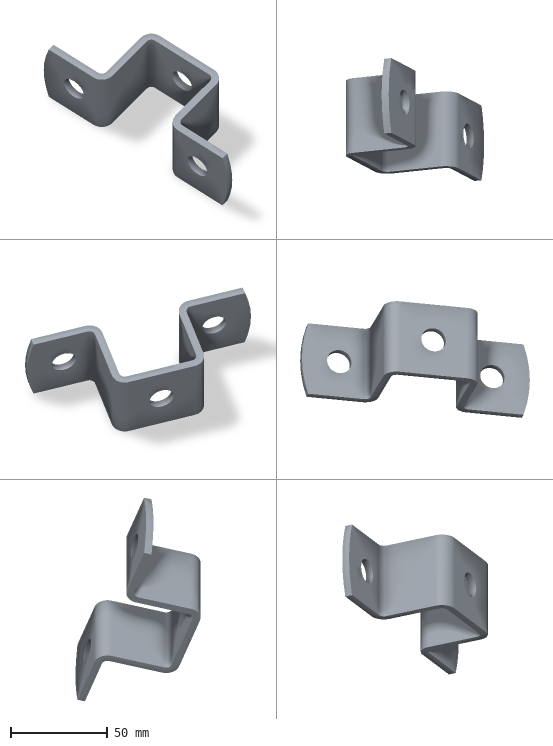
import cadquery as cq

length = 122.0
depth = 43.0
height = 40.0

thickness = 4.0
inner_bend_radius = 3.0
outer_bend_radius = inner_bend_radius + thickness
channel_width = 50.0

hole_diameter = 13.0
hole_offset = 41.0

half_length = length / 2
wall_outer_x = channel_width / 2
wall_inner_x = wall_outer_x - thickness
web_inner_y = depth - thickness


def hat_strip():
    """Hat-shaped strip with rounded bends, flanges resting on Y = 0."""
    profile = (
        cq.Workplane("XY")
        .moveTo(-half_length, 0)
        .lineTo(-wall_inner_x, 0)
        .lineTo(-wall_inner_x, web_inner_y)
        .lineTo(wall_inner_x, web_inner_y)
        .lineTo(wall_inner_x, 0)
        .lineTo(half_length, 0)
        .lineTo(half_length, thickness)
        .lineTo(wall_outer_x, thickness)
        .lineTo(wall_outer_x, depth)
        .lineTo(-wall_outer_x, depth)
        .lineTo(-wall_outer_x, thickness)
        .lineTo(-half_length, thickness)
        .close()
    )
    strip = profile.extrude(height / 2, both=True)

    for side in (-1, 1):
        outer_corners = ((side * wall_inner_x, 0), (side * wall_outer_x, depth))
        inner_corners = ((side * wall_outer_x, thickness), (side * wall_inner_x, web_inner_y))
        for corners, radius in ((outer_corners, outer_bend_radius), (inner_corners, inner_bend_radius)):
            for x, y in corners:
                strip = strip.edges(cq.selectors.NearestToPointSelector((x, y, 0))).fillet(radius)
    return strip


def along_y(diameter):
    """Cylinder on the Y axis, passing through the full depth."""
    return cq.Workplane("XZ").circle(diameter / 2).extrude(-depth)


result = hat_strip().intersect(along_y(length))

for hole_x in (-hole_offset, 0, hole_offset):
    result = result.cut(along_y(hole_diameter).translate((hole_x, 0, 0)))